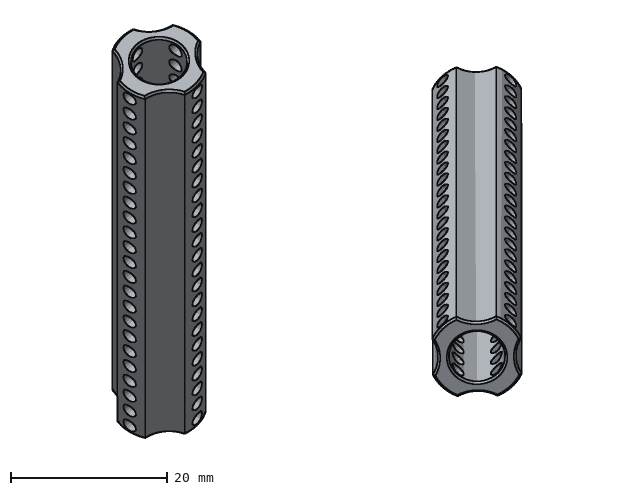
import cadquery as cq
import math

LENGTH = 71.9
OUTER_DIAMETER = 12.5
BORE_DIAMETER = 7.2
END_CHAMFER = 0.3

LOBE_COUNT = 4
LOBE_WIDTH = 4.45
FLUTE_FLOOR_DIAMETER = 10.0

HOLE_DIAMETER = 2.0
HOLES_PER_ROW = 23
HOLE_PITCH = LENGTH / HOLES_PER_ROW

LOBE_ANGLE = 360.0 / LOBE_COUNT
OUTER_RADIUS = OUTER_DIAMETER / 2


def polar_point(radius, degrees):
    angle = math.radians(degrees)
    return (radius * math.cos(angle), radius * math.sin(angle))


def fluted_outline():
    """Closed outline of lobe crests alternating with concave flutes."""
    half_crest = math.degrees(math.asin(LOBE_WIDTH / OUTER_DIAMETER))
    outline = cq.Workplane("XY").moveTo(*polar_point(OUTER_RADIUS, -half_crest))
    for lobe in range(LOBE_COUNT):
        crest = lobe * LOBE_ANGLE
        crest_end = polar_point(OUTER_RADIUS, crest + half_crest)
        next_crest_start = polar_point(OUTER_RADIUS, crest + LOBE_ANGLE - half_crest)
        flute_floor = polar_point(FLUTE_FLOOR_DIAMETER / 2, crest + LOBE_ANGLE / 2)
        outline = outline.threePointArc(polar_point(OUTER_RADIUS, crest), crest_end)
        outline = outline.threePointArc(flute_floor, next_crest_start)
    return outline.close()


def fluted_tube():
    """Bored, fluted tube with every edge of both end faces chamfered."""
    tube = fluted_outline().circle(BORE_DIAMETER / 2).extrude(LENGTH)
    return tube.faces("<Z or >Z").edges().chamfer(END_CHAMFER)


def hole_row(plane):
    """Cutters for one row of holes passing through two opposite lobes."""
    centers = [(0, HOLE_PITCH * (i + 0.5)) for i in range(HOLES_PER_ROW)]
    holes = cq.Workplane(plane).pushPoints(centers).circle(HOLE_DIAMETER / 2)
    return holes.extrude(OUTER_DIAMETER, both=True)


result = fluted_tube().cut(hole_row("XZ")).cut(hole_row("YZ"))